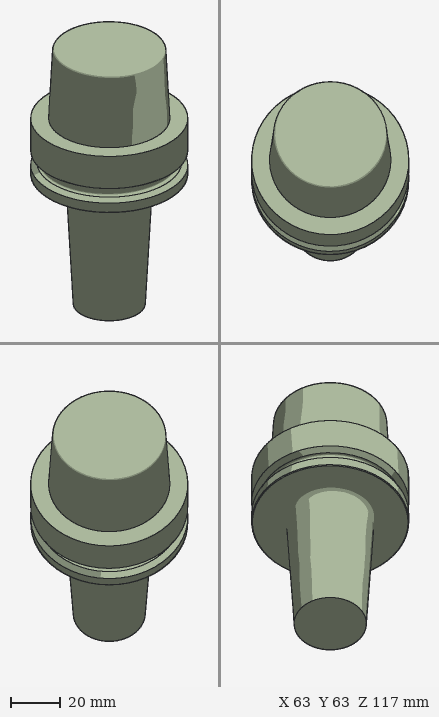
import cadquery as cq
import math


shank_length = 32.0
gauge_diameter = 48.0
gauge_height = 6.3
shank_taper = 1 / 10
shank_tip_fillet = 1.2

flange_radius = 63.0 / 2
flange_thickness = 26.0
flange_edge_chamfer = 0.35
groove_center_depth = 18.1
groove_mouth_width = 6.7
groove_floor_radius = 55.3 / 2
groove_wall_angle = 30.0
groove_wall_depth = 1.4
groove_corner_fillet = 0.7

nose_length = 59.0
nose_end_radius = 29.0 / 2
nose_half_angle = 3.0
nose_root_radius = nose_end_radius + nose_length * math.tan(math.radians(nose_half_angle))
nose_root_fillet = 3.1

pick_margin = 0.05


def shank_radius(height):
    """Radius of the taper shank at a height above the flange face."""
    return (gauge_diameter - (height - gauge_height) * shank_taper) / 2


def revolve_profile(points):
    """Solid of revolution about Z from a closed outline of (radius, height) points."""
    return cq.Workplane("YZ").polyline(points).close().revolve(360, (0, 0), (0, 1))


def edges_at(height, reach):
    """Selector for the edges lying in a plane of constant Z within a given radius."""
    return cq.selectors.BoxSelector(
        (-reach, -reach, height - pick_margin),
        (reach, reach, height + pick_margin),
        boundingbox=True,
    )


def make_shank():
    profile = [
        (0, 0),
        (shank_radius(0), 0),
        (shank_radius(shank_length), shank_length),
        (0, shank_length),
    ]
    shank = revolve_profile(profile)
    return shank.faces(">Z").edges().fillet(shank_tip_fillet)


def make_groove():
    """Ring removed from the flange rim: sloped walls, a step, then a floor with rounded corners."""
    wall_run = groove_wall_depth / math.tan(math.radians(groove_wall_angle))
    mouth_half_width = groove_mouth_width / 2
    step_half_width = mouth_half_width - groove_wall_depth
    center = -groove_center_depth
    profile = [
        (groove_floor_radius, center - step_half_width),
        (flange_radius - wall_run, center - step_half_width),
        (flange_radius, center - mouth_half_width),
        (flange_radius, center + mouth_half_width),
        (flange_radius - wall_run, center + step_half_width),
        (groove_floor_radius, center + step_half_width),
    ]
    groove = revolve_profile(profile)
    for side in (-1, 1):
        corner = edges_at(center + side * step_half_width, groove_floor_radius + pick_margin)
        groove = groove.edges(corner).fillet(groove_corner_fillet)
    return groove


def make_flange():
    flange = cq.Workplane("XY").circle(flange_radius).extrude(-flange_thickness)
    flange = flange.faces("<Z").edges().chamfer(flange_edge_chamfer)
    return flange.cut(make_groove())


def make_nose(root_radius):
    root = -flange_thickness
    end = root - nose_length
    profile = [(0, root), (root_radius, root), (nose_end_radius, end), (0, end)]
    return revolve_profile(profile)


body = make_flange().union(make_nose(nose_root_radius))
body = body.edges(edges_at(-flange_thickness, nose_root_radius + pick_margin)).fillet(nose_root_fillet)
result = body.union(make_shank())